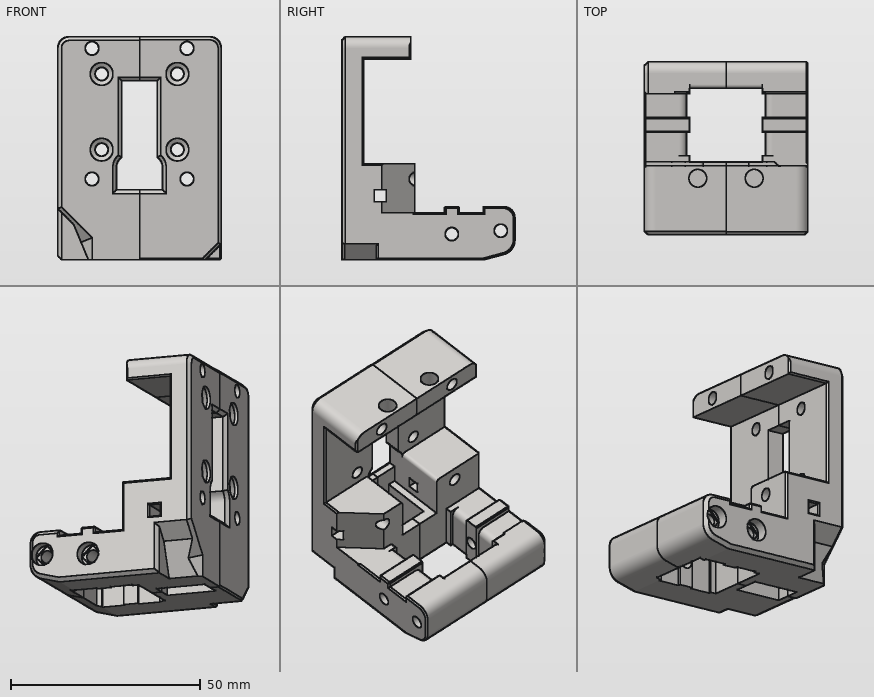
import cadquery as cq
import math


half_width = 21.6
length = 45.71
height = 58.94

plate_thickness = 5.8
flange_length = 18.2
flange_underside = 53.0
ledge_length = 19.27
ledge_top = 25.4
deck_top = 12.5
rail_top = 14.05
rail_start = 27.05
rail_end = 31.0
rail_bevel = 0.3
back_wall_start = 37.3
slope_start = 37.45
slope_angle = 15.0
corner_radius = 3.0
heel_radius = 4.0

edge_break = 0.45
left_front_bevel = 1.0
left_side_bevel = 1.05
right_front_bevel = 0.85

opening_half_width = 9.6
opening_back = 38.67
opening_round = 1.0
pocket_half_width = 10.37
pocket_front = 20.9
pocket_round = 1.93
right_shoulder_round = 1.0
wall_bevel = 0.5
left_wall_bevel_reach = 13.5

window_bevel = 1.0
narrow_half_width = 4.65
wide_half_width = 6.05
window_bottom = 18.52
window_top = 47.25
taper_top = 27.15
taper_radius = 3.0
sill_depth = 2.8
channel_floor = 13.2
channel_round = 1.0
slot_half_width = 4.0

through_diameter = 3.5
through_x = 12.55
through_heights = (21.35, 55.87)
screw_diameter = 3.4
screw_head_diameter = 6.0
screw_head_depth = 0.9
screw_cone_depth = 0.75
screw_x = 10.0
screw_heights = (29.1, 49.1)

flange_hole_diameter = 4.7
flange_hole_x = 7.45
flange_hole_y = 14.93
flange_hole_depth = 5.0

cross_holes = ((29.0, 6.8), (41.95, 7.7))
cross_head_diameter = 6.0
cross_head_depth = 3.2
cross_square_depth = 0.4
square_hole_size = 3.1
square_hole_center = (10.1, 16.95)
square_hole_bevel = 0.35

recess_back = 9.1
left_recess_height = 13.55
left_recess_knee = (17.36, 9.3)
left_recess_foot = 13.5
left_flare = 3.0
left_flare_x = 12.5
left_flare_top = 5.85
right_corner_leg = 4.2
right_corner_flare = 0.8

right_ledge_diagonal = 32.05

clearance = 10.0
tol = 0.1


def box(x_range, y_range, z_range):
    """Box spanning three (start, end) ranges."""
    sizes = [abs(end - start) for start, end in (x_range, y_range, z_range)]
    center = tuple((start + end) / 2 for start, end in (x_range, y_range, z_range))
    return cq.Workplane("XY").box(*sizes).translate(center)


def near(x_range, y_range, z_range):
    """Selector for the edges centred inside a box."""
    low = [min(span) for span in (x_range, y_range, z_range)]
    high = [max(span) for span in (x_range, y_range, z_range)]
    return cq.selectors.BoxSelector(low, high)


def polygon(points):
    """Function that draws a closed polygon on a workplane."""
    return lambda plane: plane.polyline(points).close()


def flare(plane_name, start, end, draw_outline, growth):
    """Frustum from the outline grown at offset start to the plain outline at offset end."""
    grown = draw_outline(cq.Workplane(plane_name).workplane(offset=start))
    grown = grown.offset2D(growth, "intersection")
    plain = draw_outline(cq.Workplane(plane_name).workplane(offset=end))
    return cq.Workplane(cq.Solid.makeLoft([grown.val(), plain.wire().val()], True))


def cylinder_y(diameter, x, z, start, end):
    """Cylinder along Y from start to end."""
    return cq.Workplane("XZ", origin=(x, start, z)).circle(diameter / 2).extrude(start - end)


def hull(side, front_bevel, side_bevel, bevel_bottom_front):
    """Solid half with its rounded and bevelled outer edges."""
    slope_rise = (length - slope_start) * math.tan(math.radians(slope_angle))
    body = (
        cq.Workplane("YZ")
        .polyline([
            (0, 0),
            (slope_start, 0),
            (length, slope_rise),
            (length, rail_top),
            (back_wall_start, rail_top),
            (back_wall_start, flange_underside),
            (flange_length, flange_underside),
            (flange_length, height),
            (0, height),
        ])
        .close()
        .extrude(side * half_width)
    )
    full_x = (-half_width - tol, half_width + tol)
    outer_x = (side * (half_width - tol), side * (half_width + tol))
    back_y = (length - tol, length + tol)
    body = body.edges(near(full_x, back_y, (tol, corner_radius))).edges("|X").fillet(heel_radius)
    back_top_edge = near(full_x, back_y, (rail_top - tol, rail_top + tol))
    body = body.edges(back_top_edge).edges("|X").fillet(corner_radius)
    body = body.edges(near(outer_x, (0, flange_length), (height - tol, height + tol))).fillet(corner_radius)
    front_z = (tol, height + tol)
    seam_clear_x = (side * tol, side * (half_width + tol))
    body = body.edges(near(seam_clear_x, (-tol, tol), front_z)).chamfer(front_bevel)
    arm_edges = near(outer_x, (tol, length + tol), (-tol, rail_top + tol))
    body = body.edges(arm_edges).chamfer(side_bevel)
    if bevel_bottom_front:
        body = body.edges(near(full_x, (-tol, tol), (-tol, tol))).edges("|X").chamfer(edge_break)
    return body


def side_void(side):
    """Space above the ledge, deck and back wall, flared at the outer side."""
    points = [
        (flange_length, flange_underside),
        (plate_thickness, flange_underside),
        (plate_thickness, ledge_top),
        (ledge_length, ledge_top),
        (ledge_length, deck_top),
        (rail_start, deck_top),
        (rail_start, rail_top - rail_bevel),
        (rail_start + rail_bevel, rail_top),
        (rail_end - rail_bevel, rail_top),
        (rail_end, rail_top - rail_bevel),
        (rail_end, deck_top),
        (back_wall_start, deck_top),
        (back_wall_start, rail_top),
        (length + clearance, rail_top),
        (length + clearance, height + clearance),
        (flange_length, height + clearance),
    ]
    void = cq.Workplane("YZ").polyline(points).close().extrude(side * half_width)
    outer = side * half_width
    return void.union(flare("YZ", outer, outer - side * edge_break, polygon(points), edge_break))


def cut_opening(body, side, bevel_reach):
    """Vertical opening between the arms, with rounded deck and wall edges."""
    edge_x = side * opening_half_width
    pocket_x = side * pocket_half_width
    tall = (-clearance, rail_top + clearance)
    bevel = (
        cq.Workplane("YZ")
        .polyline([
            (back_wall_start, rail_top - wall_bevel),
            (back_wall_start + wall_bevel, rail_top),
            (back_wall_start, rail_top),
        ])
        .close()
        .extrude(side * bevel_reach)
    )
    body = body.cut(bevel)
    body = body.cut(box((0, edge_x), (ledge_length, opening_back), (-clearance, ledge_top)))
    round_edge = near((0, edge_x), (opening_back - tol, opening_back + tol), (rail_top - tol, rail_top + tol))
    body = body.edges(round_edge).edges("|X").fillet(opening_round)
    for start, end in ((pocket_front, rail_start), (rail_end, back_wall_start)):
        body = body.cut(box((0, pocket_x), (start, end), tall))
        round_edge = near((pocket_x - tol, pocket_x + tol), (start, end), (deck_top - tol, deck_top + tol))
        body = body.edges(round_edge).edges("|Y").fillet(pocket_round)
    return body


def cut_channel(body, side):
    """Channel through the ledge behind the window, with a deeper central slot."""
    edge_x = side * wide_half_width
    ledge_y = (plate_thickness, ledge_length)
    body = body.cut(box((0, edge_x), ledge_y, (channel_floor, ledge_top)))
    round_edge = near((edge_x - tol, edge_x + tol), ledge_y, (ledge_top - tol, ledge_top + tol))
    body = body.edges(round_edge).edges("|Y").fillet(channel_round)
    body = body.cut(box((0, edge_x), (sill_depth, plate_thickness), (channel_floor, window_bottom)))
    slot_end = ledge_length - sill_depth
    return body.cut(box((0, side * slot_half_width), (sill_depth, slot_end), (-clearance, channel_floor)))


def draw_window(plane):
    """Keyhole outline: a wide foot that blends through arcs and 45 degree lines into a narrow slot."""
    diagonal = math.sqrt(0.5)
    shoulder = taper_top - (wide_half_width - narrow_half_width)
    arc_start = shoulder - taper_radius * math.tan(math.pi / 8)
    arc_middle = (
        wide_half_width - taper_radius * (1 - math.cos(math.pi / 8)),
        arc_start + taper_radius * math.sin(math.pi / 8),
    )
    arc_end = (wide_half_width - taper_radius * (1 - diagonal), arc_start + taper_radius * diagonal)

    def mirrored(point):
        return (-point[0], point[1])

    return (
        plane.moveTo(-wide_half_width, window_bottom)
        .lineTo(wide_half_width, window_bottom)
        .lineTo(wide_half_width, arc_start)
        .threePointArc(arc_middle, arc_end)
        .lineTo(narrow_half_width, taper_top)
        .lineTo(narrow_half_width, window_top)
        .lineTo(-narrow_half_width, window_top)
        .lineTo(-narrow_half_width, taper_top)
        .lineTo(*mirrored(arc_end))
        .threePointArc(mirrored(arc_middle), (-wide_half_width, arc_start))
        .close()
    )


def window():
    """Keyhole window through the plate, bevelled at the front."""
    opening = draw_window(cq.Workplane("XZ")).extrude(-plate_thickness)
    return opening.union(flare("XZ", 0, -window_bevel, draw_window, window_bevel))


def cut_plate_holes(body, side):
    """Plain through holes and countersunk screw holes in the plate."""
    for z in through_heights:
        body = body.cut(cylinder_y(through_diameter, side * through_x, z, 0, length))
    for z in screw_heights:
        x = side * screw_x
        body = body.cut(cylinder_y(screw_diameter, x, z, 0, plate_thickness))
        body = body.cut(cylinder_y(screw_head_diameter, x, z, 0, screw_head_depth))
        cone = cq.Solid.makeCone(
            screw_head_diameter / 2, screw_diameter / 2, screw_cone_depth,
            cq.Vector(x, screw_head_depth, z), cq.Vector(0, 1, 0),
        )
        body = body.cut(cq.Workplane(cone))
    return body


def cut_flange_hole(body, side):
    """Blind hole in the top of the flange."""
    hole = (
        cq.Workplane("XY", origin=(side * flange_hole_x, flange_hole_y, height))
        .circle(flange_hole_diameter / 2)
        .extrude(-flange_hole_depth)
    )
    return body.cut(hole)


def cut_cross_holes(body):
    """Holes along X through both arms and the square hole through the ledge."""
    width = 2 * half_width
    across = cq.Workplane("YZ", origin=(-half_width, 0, 0))
    body = body.cut(across.pushPoints(cross_holes).circle(screw_diameter / 2).extrude(width))
    square = across.center(*square_hole_center).rect(square_hole_size, square_hole_size).extrude(width)
    return body.cut(square)


def cut_left_cross_heads(body):
    """Screw head bores with a square step, and the bevelled mouth of the square hole."""
    across = cq.Workplane("YZ", origin=(-half_width, 0, 0)).pushPoints(cross_holes)
    body = body.cut(across.circle(cross_head_diameter / 2).extrude(cross_head_depth))
    body = body.cut(across.polygon(4, cross_head_diameter).extrude(cross_head_depth + cross_square_depth))
    y, z = square_hole_center
    reach = square_hole_size / 2
    corners = [(y - reach, z - reach), (y + reach, z - reach), (y + reach, z + reach), (y - reach, z + reach)]
    mouth = flare("YZ", -half_width, -half_width + square_hole_bevel, polygon(corners), square_hole_bevel)
    return body.cut(mouth)


def cut_left_recess(body):
    """Recess in the lower front corner of the left half, flared towards the front."""
    knee_x, knee_z = left_recess_knee
    pocket = (
        cq.Workplane("XZ")
        .polyline([
            (-half_width, 0),
            (-left_recess_foot, 0),
            (-knee_x, knee_z),
            (-half_width, left_recess_height),
        ])
        .close()
        .extrude(-recess_back)
    )
    body = body.cut(pocket)
    deep_x = left_flare_x + left_flare
    deep_sum = left_flare_x - left_flare_top + left_flare * math.sqrt(2)
    far_x = half_width + clearance
    outline = [
        (-far_x, -clearance),
        (-deep_x, -clearance),
        (-deep_x, deep_x - deep_sum),
        (-far_x, far_x - deep_sum),
    ]
    body = body.cut(flare("XZ", 0, -left_flare, polygon(outline), left_flare))
    rim = near((-half_width - tol, -half_width + tol), (recess_back - tol, recess_back + tol), (0, height))
    return body.edges(rim).edges("|Z").chamfer(left_side_bevel)


def cut_right_corner(body):
    """Diagonal relief in the lower front corner of the right half."""
    far_x = half_width + clearance
    outline = [
        (half_width - right_corner_leg - clearance, -clearance),
        (far_x, -clearance),
        (far_x, right_corner_leg + clearance),
    ]
    relief = cq.Workplane("XZ").polyline(outline).close().extrude(-recess_back)
    body = body.cut(relief)
    body = body.cut(flare("XZ", 0, -right_corner_flare, polygon(outline), right_corner_flare))
    rim = near((half_width - tol, half_width + tol), (recess_back - tol, recess_back + tol), (0, height))
    body = body.edges(rim).edges("|Z").chamfer(edge_break)
    rim = near((0, half_width), (recess_back - tol, recess_back + tol), (-tol, tol))
    return body.edges(rim).edges("|X").chamfer(edge_break)


def cut_right_ledge_end(body):
    """Diagonal cut that ends the right ledge above the deck."""
    far = half_width + ledge_length
    wedge = (
        cq.Workplane("XY", origin=(0, 0, deck_top))
        .polyline([
            (right_ledge_diagonal - ledge_length, ledge_length),
            (far, right_ledge_diagonal - far),
            (far, ledge_length),
        ])
        .close()
        .extrude(ledge_top - deck_top)
    )
    return body.cut(wedge)


def round_right_shoulder(body):
    """Round the short deck edge between the ledge and the first deck pocket."""
    edge_x = (opening_half_width - tol, opening_half_width + tol)
    edge = near(edge_x, (ledge_length, pocket_front), (deck_top - tol, deck_top + tol))
    return body.edges(edge).edges("|Y").fillet(right_shoulder_round)


def half_body(side, front_bevel, side_bevel, wall_bevel_reach, bevel_bottom_front):
    """Features that both halves share; side is -1 for left and 1 for right."""
    body = hull(side, front_bevel, side_bevel, bevel_bottom_front)
    body = body.cut(side_void(side))
    body = cut_opening(body, side, wall_bevel_reach)
    body = cut_channel(body, side)
    body = body.cut(window())
    body = cut_plate_holes(body, side)
    body = cut_flange_hole(body, side)
    return cut_cross_holes(body)


left_half = half_body(-1, left_front_bevel, left_side_bevel, left_wall_bevel_reach, False)
left_half = cut_left_cross_heads(left_half)
left_half = cut_left_recess(left_half)

right_half = half_body(1, right_front_bevel, edge_break, half_width, True)
right_half = cut_right_ledge_end(right_half)
right_half = cut_right_corner(right_half)
right_half = round_right_shoulder(right_half)

result = cq.Compound.makeCompound([left_half.solids().val(), right_half.solids().val()])